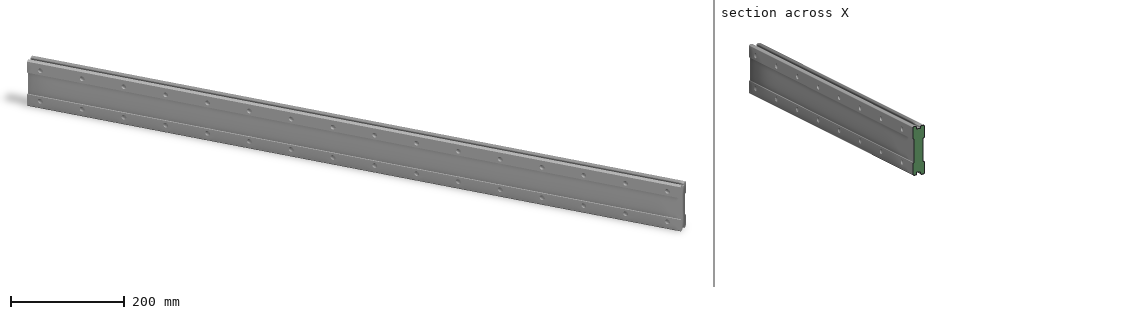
import cadquery as cq

length = 1250.0
thickness = 24.0
height = 90.0

recess_height = 42.0
recess_depth = 2.0

groove_width = 7.0
groove_depth = 5.0
edge_chamfer = 2.0

hole_diameter = 9.0
hole_count = 16
hole_pitch = 80.0
row_count = 2
row_spacing = 60.0


def make_bar():
    return cq.Workplane("XY").box(length, thickness, height)


def cut_face_recesses(body):
    recess = cq.Workplane("XY").box(length, recess_depth, recess_height)
    offset = (thickness - recess_depth) / 2
    for side in (-1, 1):
        body = body.cut(recess.translate((0, side * offset, 0)))
    return body


def cut_edge_grooves(body):
    groove = cq.Workplane("XY").box(length, groove_width, groove_depth)
    offset = (height - groove_depth) / 2
    for side in (-1, 1):
        body = body.cut(groove.translate((0, 0, side * offset)))
    return body


def chamfer_long_edges(body):
    return body.faces("<Z or >Z").edges("|X").chamfer(edge_chamfer)


def cut_hole_rows(body):
    holes = (
        cq.Workplane("XZ")
        .rarray(hole_pitch, row_spacing, hole_count, row_count)
        .circle(hole_diameter / 2)
        .extrude(thickness / 2, both=True)
    )
    return body.cut(holes)


bar = make_bar()
recessed_bar = cut_face_recesses(bar)
grooved_bar = cut_edge_grooves(recessed_bar)
chamfered_bar = chamfer_long_edges(grooved_bar)
result = cut_hole_rows(chamfered_bar)